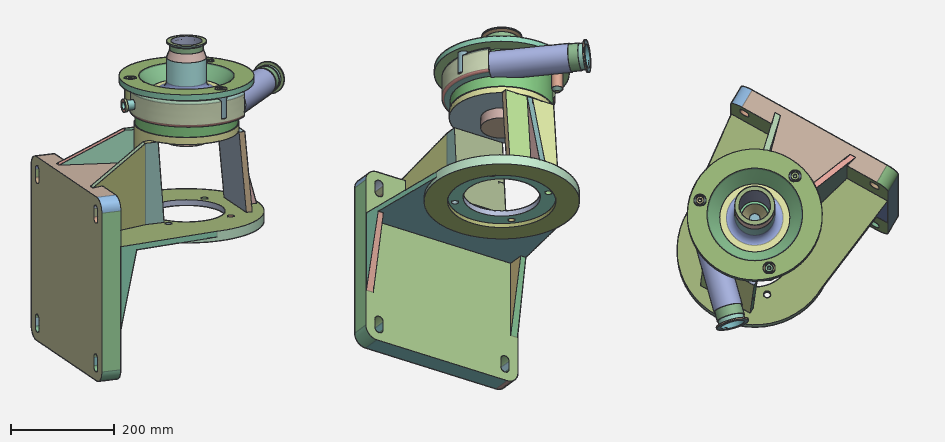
import cadquery as cq
import math


PLATE_WIDTH = 350.0
PLATE_HEIGHT = 370.0
PLATE_THICKNESS = 40.0
PLATE_FRONT_Y = -251.5
PLATE_BACK_Y = PLATE_FRONT_Y + PLATE_THICKNESS
PLATE_CORNER_RADIUS = 25.0
SLOT_WIDTH = 19.0
SLOT_LENGTH = 35.5
SLOT_PITCH_X = 289.5
SLOT_PITCH_Z = 299.0

SHELF_TOP_Z = 272.0
SHELF_BOTTOM_Z = 260.5
SHELF_RADIUS = 150.0
SHELF_WALL_HALF_WIDTH = 174.0
RIM_BOTTOM_Z = 252.0
RIM_INNER_RADIUS = 104.5
SHELF_BORE_RADIUS = 74.5
BOLT_CIRCLE_RADIUS = 92.0
BOLT_HOLE_RADIUS = 7.0
BOLT_COUNT = 4
BOLT_START_ANGLE = 45.0

RIB_INNER_X = 158.0
RIB_FRONT_Y = -176.0
RIB_BOTTOM_Z = 102.0

TOP_Z = 614.5
STACK_BOTTOM_Z = 435.5
FOOT_RING_TOP_Z = 450.0
FOOT_RING_RADIUS = 101.5
CORE_RADIUS = 99.5
DISC_RADIUS = 130.0
DISC_BOTTOM_Z = 533.0
DISC_TOP_Z = 544.5
HUB_RADIUS = 40.5
HUB_BOTTOM_Z = 413.5

DISH_TOP_RADIUS = 91.0
DISH_EDGE_CHAMFER = 1.0
DISH_FLOOR_RADIUS = 67.5
DISH_FLOOR_Z = 517.5

INLET_RADIUS = 39.0
INLET_NECK_RADIUS = 32.5
INLET_LIP_RADIUS = 39.0
INLET_LIP_HEIGHT = 3.0
INLET_LIP_TAPER = 3.5
INLET_CONE_TOP_Z = 597.0
INLET_CONE_BOTTOM_Z = 581.5
INLET_FOOT_FILLET = 16.0
INLET_BORE_RADIUS = 30.0
INLET_SEAT_Z = 528.5
BOWL_RADIUS = 25.0
BOWL_FLOOR_RADIUS = 10.5
BOWL_FLOOR_Z = 510.0

VOLUTE_BOTTOM_Z = 474.0
VOLUTE_TOP_Z = 525.5
VOLUTE_START_ANGLE = 142.0
VOLUTE_END_ANGLE = 405.0
VOLUTE_START_RADIUS = 102.5
VOLUTE_END_RADIUS = 121.0
VOLUTE_STEPS = 12
VOLUTE_EDGE = 5.0
VOLUTE_LID_TOP_Z = 530.0
VOLUTE_LID_INSET = 7.5

PORT_Z = 499.0
OUTLET_ANGLE = 45.0
OUTLET_OFFSET = 95.0
OUTLET_LENGTH = 189.0
OUTLET_RADIUS = 28.0
OUTLET_END_RADIUS = 27.0
OUTLET_END_LENGTH = 33.0
OUTLET_NECK_RADIUS = 26.0
OUTLET_NECK_LENGTH = 13.5
OUTLET_LIP_RADIUS = 32.0
OUTLET_LIP_LENGTH = 3.0
OUTLET_BORE_RADIUS = 23.5

DRAIN_END_Y = -132.0
DRAIN_LENGTH = 40.0
DRAIN_RADIUS = 10.0
DRAIN_FLANGE_RADIUS = 13.0
DRAIN_FLANGE_LENGTH = 5.0
DRAIN_BORE_RADIUS = 7.5
DRAIN_BORE_DEPTH = 24.5

SCREW_COUNT = 3
SCREW_CIRCLE_RADIUS = 109.5
SCREW_START_ANGLE = 14.6
BOSS_RADIUS = 11.0
BOSS_BOTTOM_Z = 480.5
BOSS_CHAMFER = 6.0
COUNTERBORE_RADIUS = 11.5
SCREW_HEAD_RADIUS = 8.0
SCREW_RECESS_DEPTH = 6.0
SOCKET_WIDTH = 7.5

LEG_HALF_WIDTH = 55.0
BACK_LEG_THICKNESS = 12.0
BACK_LEG_TOP_Y = 86.5
BACK_LEG_FOOT_Y = 102.0
BACK_GUSSET_FOOT_Y = 144.5
BACK_GUSSET_THICKNESS = 12.0
FRONT_LEG_TOP_Y = -82.5
FRONT_LEG_FOOT_Y = -70.0
GUSSET_ROOT_Y = -109.5
GUSSET_TIP_X = 90.0
GUSSET_TIP_Y = -234.0
GUSSET_WIDTH = 12.0
LEG_HOLE_Z = 342.0
LEG_HOLE_WIDTH = 5.0
LEG_HOLE_DEPTH = 12.0
LEG_HOLE_FRONT_Y = -78.5
LEG_HOLE_BACK_Y = 101.0


def cylinder(radius, bottom, top):
    return cq.Workplane("XY").workplane(offset=bottom).circle(radius).extrude(top - bottom)


def slab_along_x(points, start_x, end_x):
    """Extrude an outline of (Y, Z) points from start_x to end_x."""
    return cq.Workplane("YZ").workplane(offset=start_x).polyline(points).close().extrude(end_x - start_x)


def wall_plate():
    plate = (
        cq.Workplane("XZ", origin=(0, PLATE_BACK_Y, PLATE_HEIGHT / 2))
        .rect(PLATE_WIDTH, PLATE_HEIGHT)
        .extrude(PLATE_THICKNESS)
        .edges("|Y")
        .fillet(PLATE_CORNER_RADIUS)
    )
    slots = (
        cq.Workplane("XZ", origin=(0, PLATE_BACK_Y, PLATE_HEIGHT / 2))
        .rarray(SLOT_PITCH_X, SLOT_PITCH_Z, 2, 2)
        .slot2D(SLOT_LENGTH, SLOT_WIDTH, 90)
        .extrude(PLATE_THICKNESS)
    )
    return plate.cut(slots)


def shelf_prism(bottom, top):
    """Shelf outline, round at the back and widening to the wall plate."""
    return (
        cq.Workplane("XY")
        .workplane(offset=bottom)
        .moveTo(SHELF_RADIUS, 0)
        .threePointArc((0, SHELF_RADIUS), (-SHELF_RADIUS, 0))
        .lineTo(-SHELF_WALL_HALF_WIDTH, PLATE_BACK_Y)
        .lineTo(SHELF_WALL_HALF_WIDTH, PLATE_BACK_Y)
        .close()
        .extrude(top - bottom)
    )


def shelf():
    rim = cylinder(SHELF_RADIUS, RIM_BOTTOM_Z, SHELF_TOP_Z).cut(
        cylinder(RIM_INNER_RADIUS, RIM_BOTTOM_Z, SHELF_BOTTOM_Z)
    )
    panel = shelf_prism(SHELF_BOTTOM_Z, SHELF_TOP_Z).union(rim)
    bolt_holes = (
        cq.Workplane("XY")
        .workplane(offset=SHELF_BOTTOM_Z)
        .polarArray(BOLT_CIRCLE_RADIUS, BOLT_START_ANGLE, 360, BOLT_COUNT)
        .circle(BOLT_HOLE_RADIUS)
        .extrude(SHELF_TOP_Z - SHELF_BOTTOM_Z)
    )
    return panel.cut(cylinder(SHELF_BORE_RADIUS, SHELF_BOTTOM_Z, SHELF_TOP_Z)).cut(bolt_holes)


def shelf_ribs():
    outline = [
        (RIB_FRONT_Y, SHELF_BOTTOM_Z),
        (PLATE_BACK_Y, SHELF_BOTTOM_Z),
        (PLATE_BACK_Y, RIB_BOTTOM_Z),
    ]
    slab = slab_along_x(outline, RIB_INNER_X, PLATE_WIDTH / 2)
    rib = slab.intersect(shelf_prism(RIB_BOTTOM_Z, SHELF_BOTTOM_Z))
    return rib.union(rib.mirror("YZ"))


def back_leg():
    panel_outline = [
        (BACK_LEG_TOP_Y, STACK_BOTTOM_Z),
        (BACK_LEG_TOP_Y + BACK_LEG_THICKNESS, STACK_BOTTOM_Z),
        (BACK_LEG_FOOT_Y + BACK_LEG_THICKNESS, SHELF_TOP_Z),
        (BACK_LEG_FOOT_Y, SHELF_TOP_Z),
    ]
    gusset_outline = [
        (BACK_LEG_TOP_Y, STACK_BOTTOM_Z),
        (BACK_LEG_TOP_Y + BACK_LEG_THICKNESS, STACK_BOTTOM_Z),
        (BACK_GUSSET_FOOT_Y, SHELF_TOP_Z),
        (BACK_LEG_FOOT_Y, SHELF_TOP_Z),
    ]
    panel = slab_along_x(panel_outline, -LEG_HALF_WIDTH, LEG_HALF_WIDTH)
    gusset = slab_along_x(gusset_outline, -BACK_GUSSET_THICKNESS / 2, BACK_GUSSET_THICKNESS / 2)
    return panel.union(gusset)


def gusset_inner_x(y):
    lean = (GUSSET_TIP_X - LEG_HALF_WIDTH) / (GUSSET_ROOT_Y - GUSSET_TIP_Y)
    return LEG_HALF_WIDTH - GUSSET_WIDTH + lean * (GUSSET_ROOT_Y - y)


def front_gusset():
    """Splayed gusset on the +X side, sloping down from the casing to the top of the wall plate."""
    heel_y = FRONT_LEG_TOP_Y
    footprint = [
        (LEG_HALF_WIDTH, heel_y),
        (LEG_HALF_WIDTH, GUSSET_ROOT_Y),
        (GUSSET_TIP_X, GUSSET_TIP_Y),
        (gusset_inner_x(GUSSET_TIP_Y), GUSSET_TIP_Y),
        (gusset_inner_x(heel_y), heel_y),
    ]
    side = [
        (heel_y, STACK_BOTTOM_Z),
        (GUSSET_ROOT_Y, STACK_BOTTOM_Z),
        (GUSSET_TIP_Y, PLATE_HEIGHT),
        (PLATE_BACK_Y, PLATE_HEIGHT),
        (PLATE_BACK_Y, SHELF_TOP_Z),
        (heel_y, SHELF_TOP_Z),
    ]
    column = cq.Workplane("XY").polyline(footprint).close().extrude(TOP_Z)
    return column.intersect(slab_along_x(side, 0, PLATE_WIDTH / 2))


def gusset_web():
    """Block between the splayed gussets, level with the top of the wall plate."""
    heel_x = gusset_inner_x(FRONT_LEG_TOP_Y)
    wall_x = gusset_inner_x(PLATE_BACK_Y)
    footprint = [
        (-heel_x, FRONT_LEG_TOP_Y),
        (heel_x, FRONT_LEG_TOP_Y),
        (wall_x, PLATE_BACK_Y),
        (-wall_x, PLATE_BACK_Y),
    ]
    return (
        cq.Workplane("XY")
        .workplane(offset=SHELF_TOP_Z)
        .polyline(footprint)
        .close()
        .extrude(PLATE_HEIGHT - SHELF_TOP_Z)
    )


def front_leg():
    outline = [
        (FRONT_LEG_TOP_Y, STACK_BOTTOM_Z),
        (FRONT_LEG_FOOT_Y, SHELF_TOP_Z),
        (GUSSET_ROOT_Y, SHELF_TOP_Z),
        (GUSSET_ROOT_Y, STACK_BOTTOM_Z),
    ]
    block = slab_along_x(outline, -LEG_HALF_WIDTH, LEG_HALF_WIDTH)
    wall = block.intersect(cylinder(FOOT_RING_RADIUS, SHELF_TOP_Z, STACK_BOTTOM_Z))
    gusset = front_gusset()
    return wall.union(gusset).union(gusset.mirror("YZ")).union(gusset_web())


def leg_holes():
    return (
        cq.Workplane("YZ", origin=(-LEG_HALF_WIDTH, 0, LEG_HOLE_Z))
        .pushPoints([(LEG_HOLE_FRONT_Y, 0), (LEG_HOLE_BACK_Y, 0)])
        .circle(LEG_HOLE_WIDTH / 2)
        .extrude(LEG_HOLE_DEPTH)
    )


def casing_stack():
    """Revolved hub, foot ring, core, dished disc and inlet pipe."""
    lip_bottom_z = TOP_Z - INLET_LIP_HEIGHT
    foot_radius = INLET_RADIUS + INLET_FOOT_FILLET
    foot_z = DISH_FLOOR_Z + INLET_FOOT_FILLET
    bend = INLET_FOOT_FILLET * (1 - math.sqrt(0.5))
    return (
        cq.Workplane("XZ")
        .moveTo(0, HUB_BOTTOM_Z)
        .lineTo(HUB_RADIUS, HUB_BOTTOM_Z)
        .lineTo(HUB_RADIUS, STACK_BOTTOM_Z)
        .lineTo(FOOT_RING_RADIUS, STACK_BOTTOM_Z)
        .lineTo(FOOT_RING_RADIUS, FOOT_RING_TOP_Z)
        .lineTo(CORE_RADIUS, FOOT_RING_TOP_Z)
        .lineTo(CORE_RADIUS, DISC_BOTTOM_Z)
        .lineTo(DISC_RADIUS, DISC_BOTTOM_Z)
        .lineTo(DISC_RADIUS, DISC_TOP_Z)
        .lineTo(DISH_TOP_RADIUS + DISH_EDGE_CHAMFER, DISC_TOP_Z)
        .lineTo(DISH_TOP_RADIUS, DISC_TOP_Z - DISH_EDGE_CHAMFER)
        .lineTo(DISH_FLOOR_RADIUS, DISH_FLOOR_Z)
        .lineTo(foot_radius, DISH_FLOOR_Z)
        .threePointArc((INLET_RADIUS + bend, DISH_FLOOR_Z + bend), (INLET_RADIUS, foot_z))
        .lineTo(INLET_RADIUS, INLET_CONE_BOTTOM_Z)
        .lineTo(INLET_NECK_RADIUS, INLET_CONE_TOP_Z)
        .lineTo(INLET_NECK_RADIUS, lip_bottom_z - INLET_LIP_TAPER)
        .lineTo(INLET_LIP_RADIUS, lip_bottom_z)
        .lineTo(INLET_LIP_RADIUS, TOP_Z)
        .lineTo(INLET_BORE_RADIUS, TOP_Z)
        .lineTo(INLET_BORE_RADIUS, INLET_SEAT_Z)
        .lineTo(BOWL_RADIUS, INLET_SEAT_Z)
        .lineTo(BOWL_FLOOR_RADIUS, BOWL_FLOOR_Z)
        .lineTo(0, BOWL_FLOOR_Z)
        .close()
        .revolve(360, (0, 0, 0), (0, 1, 0))
    )


def volute_point(step, inset):
    share = step / VOLUTE_STEPS
    angle = math.radians(VOLUTE_START_ANGLE + share * (VOLUTE_END_ANGLE - VOLUTE_START_ANGLE))
    radius = VOLUTE_START_RADIUS + share * (VOLUTE_END_RADIUS - VOLUTE_START_RADIUS) - inset
    return (radius * math.cos(angle), radius * math.sin(angle))


def volute_prism(inset, bottom, top):
    """Sector from the pump axis out to the spiral."""
    spiral = [volute_point(step, inset) for step in range(VOLUTE_STEPS + 1)]
    return (
        cq.Workplane("XY")
        .workplane(offset=bottom)
        .lineTo(*spiral[0])
        .spline(spiral[1:], includeCurrent=True)
        .close()
        .extrude(top - bottom)
    )


def volute():
    """Rounded spiral body and its inset lid, open at the middle for the dish."""
    body = volute_prism(0, VOLUTE_BOTTOM_Z, VOLUTE_TOP_Z)
    body = body.faces("<Z or >Z").edges("not %LINE").fillet(VOLUTE_EDGE)
    lid = volute_prism(VOLUTE_LID_INSET, VOLUTE_TOP_Z - VOLUTE_EDGE, VOLUTE_LID_TOP_Z)
    opening = cylinder(DISH_TOP_RADIUS, VOLUTE_BOTTOM_Z, VOLUTE_LID_TOP_Z)
    return body.union(lid).cut(opening)


def outlet_plane(distance):
    """Plane across the outlet pipe, the given distance back from its open end, facing inwards."""
    turn = math.radians(OUTLET_ANGLE)
    along = OUTLET_LENGTH - distance
    center_x = OUTLET_OFFSET * math.cos(turn) - along * math.sin(turn)
    center_y = OUTLET_OFFSET * math.sin(turn) + along * math.cos(turn)
    inward = (math.sin(turn), -math.cos(turn), 0)
    return cq.Plane(origin=(center_x, center_y, PORT_Z), xDir=(0, 0, 1), normal=inward)


def outlet_section(radius, start, end):
    return cq.Workplane(outlet_plane(start)).circle(radius).extrude(end - start)


def outlet_pipe():
    return (
        outlet_section(OUTLET_LIP_RADIUS, 0, OUTLET_LIP_LENGTH)
        .union(outlet_section(OUTLET_NECK_RADIUS, OUTLET_LIP_LENGTH, OUTLET_NECK_LENGTH))
        .union(outlet_section(OUTLET_END_RADIUS, OUTLET_NECK_LENGTH, OUTLET_END_LENGTH))
        .union(outlet_section(OUTLET_RADIUS, OUTLET_END_LENGTH, OUTLET_LENGTH))
    )


def drain_section(radius, start_y, length):
    return cq.Workplane("XZ", origin=(0, start_y, PORT_Z)).circle(radius).extrude(-length)


def drain_stub():
    return drain_section(DRAIN_RADIUS, DRAIN_END_Y, DRAIN_LENGTH).union(
        drain_section(DRAIN_FLANGE_RADIUS, DRAIN_END_Y, DRAIN_FLANGE_LENGTH)
    )


def at_screws(height):
    return (
        cq.Workplane("XY")
        .workplane(offset=height)
        .polarArray(SCREW_CIRCLE_RADIUS, SCREW_START_ANGLE, 360, SCREW_COUNT)
    )


def screw_bosses():
    boss_height = DISC_BOTTOM_Z - BOSS_BOTTOM_Z
    bosses = at_screws(BOSS_BOTTOM_Z).circle(BOSS_RADIUS).extrude(boss_height)
    return bosses.faces("<Z").chamfer(BOSS_CHAMFER)


def screw_recesses():
    """Ring around each screw head and the hexagon socket in the head."""
    rings = at_screws(DISC_TOP_Z).circle(COUNTERBORE_RADIUS).extrude(-SCREW_RECESS_DEPTH)
    heads = at_screws(DISC_TOP_Z).circle(SCREW_HEAD_RADIUS).extrude(-SCREW_RECESS_DEPTH)
    sockets = at_screws(DISC_TOP_Z).polygon(6, SOCKET_WIDTH).extrude(-SCREW_RECESS_DEPTH)
    return rings.cut(heads).union(sockets)


bracket = wall_plate().union(shelf()).union(shelf_ribs()).union(back_leg()).union(front_leg())
bracket = bracket.cut(leg_holes())

pump = casing_stack().union(volute()).union(outlet_pipe()).union(drain_stub()).union(screw_bosses())
pump = (
    pump.cut(screw_recesses())
    .cut(outlet_section(OUTLET_BORE_RADIUS, 0, OUTLET_LENGTH))
    .cut(drain_section(DRAIN_BORE_RADIUS, DRAIN_END_Y, DRAIN_BORE_DEPTH))
)

result = bracket.union(pump).clean()